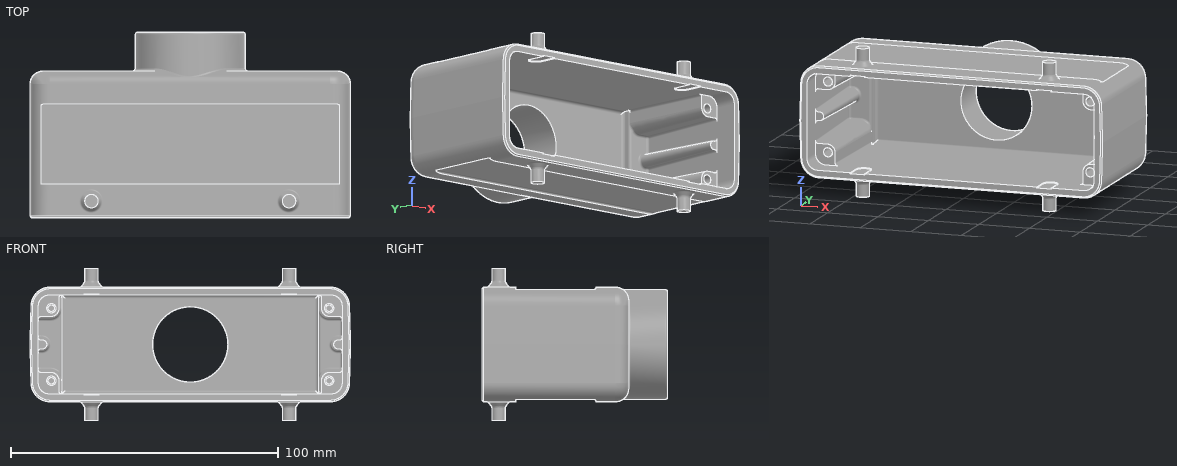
import cadquery as cq
import math

LENGTH = 120.0
END_DRAFT = 0.6
HEIGHT = 43.0
DEPTH = 55.0
CORNER_RADIUS = 7.2
BACK_RADIUS = 5.0
RIM_CHAMFER = 0.6

CAVITY_LENGTH = 113.8
CAVITY_HEIGHT = 37.0
CAVITY_RADIUS = 4.1
BACK_WALL = 3.0
LEDGE_Y = 48.0
FLOOR_LENGTH = 96.0
FLOOR_FILLET = 1.3
LEDGE_FILLET = 1.1
INNER_FILLET = 1.0

ENTRY_DIAMETER = 41.3
ENTRY_END = 69.5
ENTRY_BORE = 28.1
ENTRY_EDGE = 1.0
ENTRY_FILLET = 1.0

PANEL_START = 12.7
PANEL_END = 42.6
PANEL_FILLET = 0.6
PANEL_RECESS = 0.8

PIN_X = 37.0
PIN_Y = 6.2
PIN_DIAMETER = 5.0
PIN_SPAN = 57.0
PIN_FOOT_DIAMETER = 8.0
PIN_FOOT_HEIGHT = 1.9
PIN_ROOT = 1.2
PIN_FOOT_FILLET = 1.0
PIN_NECK_FILLET = 1.2

GROOVE_WIDTH = 5.8
GROOVE_RECESS = 0.4
GROOVE_END = 10.1

POST_FRONT = 9.6
POST_X = 49.1
POST_Z = 10.5
POST_DRAFT = 1.0
POST_RADIUS = 3.1
SCREW_X = 52.0
SCREW_Z = 13.5
SCREW_DIAMETER = 3.5
SCREW_END_DIAMETER = 2.4
SCREW_DEPTH = 14.4

RIB_X = 55.3
RIB_FRONT_RADIUS = 1.7
RIB_BASE_RADIUS = 2.5

HALF_LENGTH = LENGTH / 2
HALF_HEIGHT = HEIGHT / 2
FLOOR_Y = DEPTH - BACK_WALL
TOLERANCE = 0.01


def plane_at(y):
    """Plane normal to Y whose local axes are X and Z and whose normal is -Y."""
    return cq.Workplane("XZ", origin=(0, y, 0))


def taper_angle(start, end, length):
    """Extrusion taper in degrees that narrows an offset from start to end."""
    return math.degrees(math.atan((start - end) / length))


def outer_body():
    half_face = HALF_LENGTH - END_DRAFT
    body = (
        plane_at(0)
        .polyline([
            (HALF_LENGTH, 0),
            (half_face, HALF_HEIGHT),
            (-half_face, HALF_HEIGHT),
            (-HALF_LENGTH, 0),
            (-half_face, -HALF_HEIGHT),
            (half_face, -HALF_HEIGHT),
        ])
        .close()
        .extrude(-DEPTH)
    )
    body = body.edges("|Y and (>Z or <Z)").fillet(CORNER_RADIUS)
    body = body.faces(">Y").edges().fillet(BACK_RADIUS)
    return body.faces("<Y").edges().chamfer(RIM_CHAMFER)


def add_cable_entry(body):
    entry_radius = ENTRY_DIAMETER / 2
    entry = plane_at(FLOOR_Y).circle(entry_radius).extrude(FLOOR_Y - ENTRY_END)
    body = body.union(entry)
    body = body.faces(">Y").edges().fillet(ENTRY_EDGE)

    def on_entry_base(edge):
        ends_on_entry = all(
            math.isclose(math.hypot(v.X, v.Z), entry_radius, abs_tol=TOLERANCE) for v in edge.Vertices()
        )
        return ends_on_entry and edge.BoundingBox().ymax < DEPTH + TOLERANCE

    base_edges = [edge for edge in body.edges().vals() if on_entry_base(edge)]
    return body.newObject(base_edges).fillet(ENTRY_FILLET)


def cut_panels(body):
    """Lower the flat middle band of the upper and lower faces."""
    floor_z = HALF_HEIGHT - PANEL_RECESS
    recess = (
        cq.Workplane("YZ")
        .moveTo(PANEL_START, floor_z)
        .lineTo(PANEL_END - PANEL_FILLET, floor_z)
        .tangentArcPoint((PANEL_END, floor_z + PANEL_FILLET), relative=False)
        .lineTo(PANEL_END, HALF_HEIGHT)
        .lineTo(PANEL_START, HALF_HEIGHT)
        .close()
        .extrude(HALF_LENGTH, both=True)
    )
    return body.cut(recess).cut(recess.mirror("XY"))


def add_pins(body):
    foot_radius = PIN_FOOT_DIAMETER / 2
    pin_radius = PIN_DIAMETER / 2
    neck_z = HALF_HEIGHT + PIN_FOOT_HEIGHT
    root_z = HALF_HEIGHT - PIN_ROOT
    profile = [
        (0, root_z),
        (foot_radius, root_z),
        (foot_radius, HALF_HEIGHT),
        (pin_radius, neck_z),
        (pin_radius, PIN_SPAN / 2),
        (0, PIN_SPAN / 2),
    ]
    pin = cq.Workplane("XZ").polyline(profile).close().revolve(360, (0, 0), (0, 1))
    for pin_x in (-PIN_X, PIN_X):
        for wall_pin in (pin, pin.mirror("XY")):
            body = body.union(wall_pin.translate((pin_x, PIN_Y, 0)))

    def circles_at(height, radius):
        return [
            edge
            for edge in body.edges("%CIRCLE").vals()
            if math.isclose(abs(edge.Center().z), height, abs_tol=TOLERANCE)
            and math.isclose(edge.radius(), radius, abs_tol=TOLERANCE)
        ]

    body = body.newObject(circles_at(neck_z, pin_radius)).fillet(PIN_NECK_FILLET)
    return body.newObject(circles_at(HALF_HEIGHT, foot_radius)).fillet(PIN_FOOT_FILLET)


def post():
    """Upper corner screw post at +X, widening inwards, rounded along its free edge."""
    length = FLOOR_Y - FLOOR_FILLET - POST_FRONT
    taper = taper_angle(0, POST_DRAFT, length)
    column = (
        plane_at(POST_FRONT)
        .moveTo(HALF_LENGTH, HALF_HEIGHT)
        .lineTo(POST_X, HALF_HEIGHT)
        .lineTo(POST_X, POST_Z + POST_RADIUS)
        .tangentArcPoint((POST_X + POST_RADIUS, POST_Z), relative=False)
        .lineTo(HALF_LENGTH, POST_Z)
        .close()
        .extrude(-length, taper=taper)
    )
    hole_taper = taper_angle(SCREW_DIAMETER, SCREW_END_DIAMETER, 2 * SCREW_DEPTH)
    screw_hole = (
        plane_at(POST_FRONT)
        .center(SCREW_X, SCREW_Z)
        .circle(SCREW_DIAMETER / 2)
        .extrude(-SCREW_DEPTH, taper=hole_taper)
    )
    return column.cut(screw_hole)


def end_rib():
    """Half-round rib on the +X end wall, widening towards the ledge."""
    length = LEDGE_Y - POST_FRONT
    taper = taper_angle(RIB_FRONT_RADIUS, RIB_BASE_RADIUS, length)
    return (
        plane_at(POST_FRONT)
        .moveTo(HALF_LENGTH, RIB_FRONT_RADIUS)
        .lineTo(RIB_X, RIB_FRONT_RADIUS)
        .threePointArc((RIB_X - RIB_FRONT_RADIUS, 0), (RIB_X, -RIB_FRONT_RADIUS))
        .lineTo(HALF_LENGTH, -RIB_FRONT_RADIUS)
        .close()
        .extrude(-length, taper=taper)
    )


def inner_space():
    """Solid with the shape of the free space inside the body."""
    space = plane_at(0).rect(CAVITY_LENGTH, CAVITY_HEIGHT).extrude(-LEDGE_Y)
    space = space.edges("|Y").fillet(CAVITY_RADIUS)
    well = plane_at(POST_FRONT).rect(FLOOR_LENGTH, CAVITY_HEIGHT).extrude(POST_FRONT - FLOOR_Y)
    space = space.union(well)
    for step_x in (-FLOOR_LENGTH / 2, FLOOR_LENGTH / 2):
        ledge_lip = cq.selectors.NearestToPointSelector((step_x, LEDGE_Y, 0))
        space = space.edges(ledge_lip).fillet(LEDGE_FILLET)
    space = space.faces(">Y").edges().fillet(FLOOR_FILLET)

    obstacles = post().union(post().mirror("XY")).union(end_rib())
    for obstacle in (obstacles, obstacles.mirror("YZ")):
        space = space.cut(obstacle)

    lip_x = FLOOR_LENGTH / 2 + LEDGE_FILLET

    def on_wall_seam(edge):
        box = edge.BoundingBox()
        on_end = max(abs(v.X) for v in edge.Vertices()) > CAVITY_LENGTH / 2 - TOLERANCE
        on_side = max(abs(v.Z) for v in edge.Vertices()) > CAVITY_HEIGHT / 2 - TOLERANCE
        behind_front = POST_FRONT - TOLERANCE < box.ymin < LEDGE_Y / 2
        return (on_end or on_side) and behind_front and box.ylen > LEDGE_Y / 2

    def on_ledge_border(edge):
        box = edge.BoundingBox()
        flat = box.ylen < TOLERANCE and abs(box.ymax - LEDGE_Y) < TOLERANCE
        outside_lip = max(abs(v.X) for v in edge.Vertices()) > lip_x + TOLERANCE
        return flat and outside_lip

    inner_corners = [
        edge for edge in space.edges().vals() if on_wall_seam(edge) or on_ledge_border(edge)
    ]
    return space.newObject(inner_corners).fillet(INNER_FILLET)


def pin_groove():
    """Shallow recess in the upper cavity wall behind a pin, open at the rim."""
    depth = CAVITY_HEIGHT / 2 + GROOVE_RECESS
    round_centre = GROOVE_END - GROOVE_WIDTH / 2
    straight = cq.Workplane("XY").rect(GROOVE_WIDTH, 2 * round_centre).extrude(depth)
    round_end = cq.Workplane("XY").center(0, round_centre).circle(GROOVE_WIDTH / 2).extrude(depth)
    return straight.union(round_end)


def hollow_out(body):
    body = body.cut(inner_space())
    groove = pin_groove()
    for pin_x in (-PIN_X, PIN_X):
        for wall_groove in (groove, groove.mirror("XY")):
            body = body.cut(wall_groove.translate((pin_x, 0, 0)))
    bore = plane_at(LEDGE_Y).circle(ENTRY_BORE / 2).extrude(LEDGE_Y - ENTRY_END)
    return body.cut(bore)


result = outer_body()
result = add_cable_entry(result)
result = cut_panels(result)
result = add_pins(result)
result = hollow_out(result)